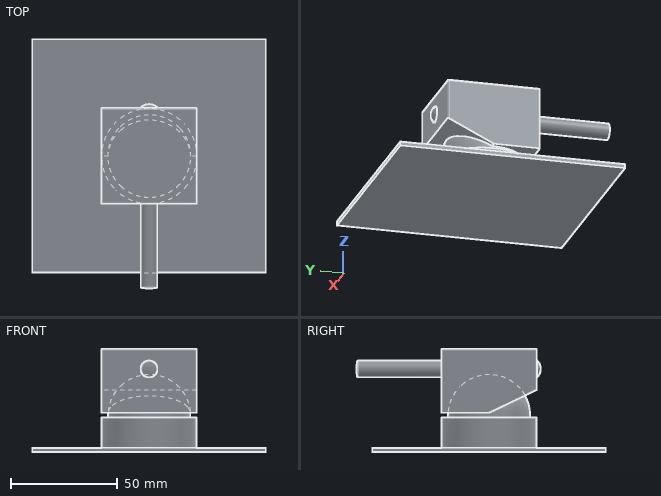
import cadquery as cq

plate_side = 110.0
plate_thickness = 2.0

collar_radius = 22.5
collar_top = 16.5
collar_edge_radius = 0.5
ball_radius = 19.5
ball_center_z = 17.2

block_side = 45.1
block_top = 48.6
block_bottom = 18.5
block_edge_radius = 0.6
relief_rise = 10.8

rod_radius = 4.0
rod_axis_z = 39.1
rod_tip_y = -62.5
rod_tip_bulge = 0.5
rod_tip_edge_radius = 0.5
rod_rear_y = 24.4
rod_rear_bulge = 1.8


def make_ball():
    """Ball that carries the handle block."""
    return cq.Workplane("XY", origin=(0, 0, ball_center_z)).sphere(ball_radius)


def make_base():
    """Wall plate and round collar, with the ball rising out of the collar."""
    plate = cq.Workplane("XY").box(plate_side, plate_side, plate_thickness, centered=(True, True, False))
    collar = cq.Workplane("XY").circle(collar_radius).extrude(collar_top)
    collar = collar.faces(">Z").edges().fillet(collar_edge_radius)
    above_collar = cq.Workplane("XY", origin=(0, 0, collar_top)).circle(collar_radius).extrude(2 * ball_radius)
    return plate.union(collar).union(make_ball().intersect(above_collar))


def make_block():
    """Square block with rounded side and top edges and its rear underside sloped up from the middle."""
    half_side = block_side / 2
    block = (
        cq.Workplane("XY", origin=(0, 0, block_bottom))
        .box(block_side, block_side, block_top - block_bottom, centered=(True, True, False))
        .edges("|Z or >Z")
        .fillet(block_edge_radius)
    )
    relief = (
        cq.Workplane("YZ")
        .polyline([(0, block_bottom), (half_side, block_bottom), (half_side, block_bottom + relief_rise)])
        .close()
        .extrude(half_side, both=True)
    )
    return block.cut(relief)


def dome_arc_radius(rim_radius, bulge):
    """Sphere radius of a domed end with the given rim radius and height."""
    return (rim_radius**2 + bulge**2) / (2 * bulge)


def make_rod():
    """Round lever with a shallow domed tip, and a fuller domed rear end standing out behind the block."""
    tip_arc_radius = dome_arc_radius(rod_radius, rod_tip_bulge)
    rear_arc_radius = dome_arc_radius(rod_radius, rod_rear_bulge)
    rod = (
        cq.Workplane("XY")
        .moveTo(0, rod_rear_y)
        .lineTo(0, rod_tip_y)
        .radiusArc((rod_radius, rod_tip_y + rod_tip_bulge), -tip_arc_radius)
        .lineTo(rod_radius, rod_rear_y - rod_rear_bulge)
        .radiusArc((0, rod_rear_y), -rear_arc_radius)
        .close()
        .revolve(360, (0, 0, 0), (0, 1, 0))
    )
    rod = rod.faces("%CYLINDER").edges("<Y").fillet(rod_tip_edge_radius)
    return rod.translate((0, 0, rod_axis_z))


def make_handle():
    """Block and lever in one piece, with a socket that fits the ball."""
    return make_block().union(make_rod()).cut(make_ball())


base = make_base()
handle = make_handle()

result = cq.Compound.makeCompound([base.solids().val(), handle.solids().val()])